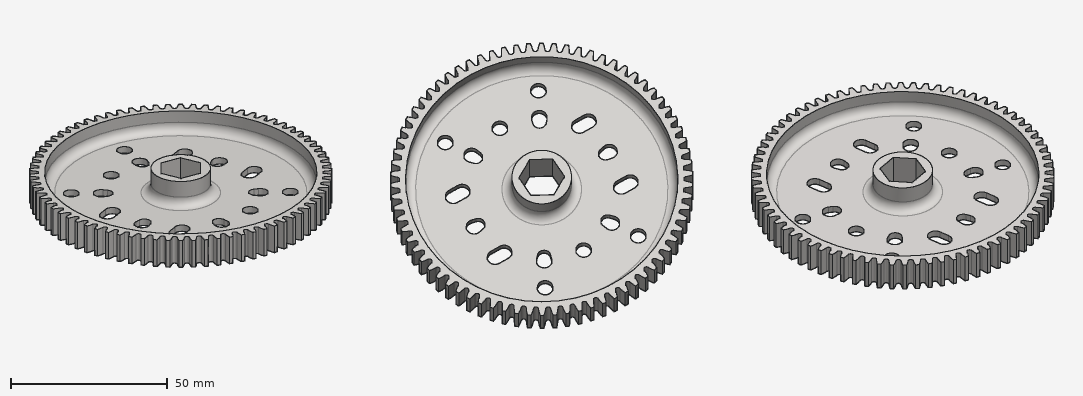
import cadquery as cq
import math


tip_diameter = 96.5
tooth_count = 74
pressure_angle = math.radians(14.5)
backlash = 0.08
root_centre_depth = 2.1
flank_points = 4

module = tip_diameter / (tooth_count + 2)
tip_radius = tip_diameter / 2
pitch_radius = module * tooth_count / 2
base_radius = pitch_radius * math.cos(pressure_angle)
root_centre_radius = tip_radius - root_centre_depth
tooth_pitch_angle = 2 * math.pi / tooth_count

face_width = 9.6
hub_length = 12.6
web_thickness = 2.3

hub_diameter = 19.0
hex_across_flats = 12.6
rim_inner_diameter = 86.9
recess_fillet = 3.2

hole_diameter = 5.0
small_hole_diameter = 4.3
inner_hole_radius = 25.4
small_hole_radius = 23.8
outer_hole_radius = 34.9
slot_travel = 3.4
slot_angle = 60
oval_angles = (30, 90, 150, 210, 270, 330)
side_angles = (0, 180)
outer_angles = (30, 150, 210, 330)

web_bottom = -face_width / 2
web_top = web_bottom + web_thickness


def polar_point(radius, angle):
    return (radius * math.cos(angle), radius * math.sin(angle))


def involute(angle):
    return math.tan(angle) - angle


def half_tooth_angle(radius):
    """Angle from the tooth centreline to the involute flank at a radius."""
    flank_angle = math.acos(base_radius / radius)
    pitch_half_angle = tooth_pitch_angle / 4 - backlash / (2 * pitch_radius)
    return pitch_half_angle + involute(pressure_angle) - involute(flank_angle)


root_rounding = base_radius * (tooth_pitch_angle / 2 - half_tooth_angle(root_centre_radius))
root_radius = root_centre_radius - root_rounding
root_normal_length = math.sqrt(root_centre_radius**2 - base_radius**2)
flank_start_radius = math.hypot(base_radius, root_normal_length - root_rounding)


def make_toothed_blank():
    flank_step = (tip_radius - flank_start_radius) / (flank_points - 1)
    flank_radii = [flank_start_radius + i * flank_step for i in range(flank_points)]
    first_centre = math.pi / 2
    start_angle = half_tooth_angle(flank_start_radius)
    start_point = polar_point(flank_start_radius, first_centre - start_angle)
    outline = cq.Workplane("XY", origin=(0, 0, web_bottom)).moveTo(*start_point)
    for tooth in range(tooth_count):
        centre = first_centre + tooth * tooth_pitch_angle
        rising = [polar_point(r, centre - half_tooth_angle(r)) for r in flank_radii]
        falling = [polar_point(r, centre + half_tooth_angle(r)) for r in reversed(flank_radii)]
        outline = outline.spline(rising[1:], includeCurrent=True)
        outline = outline.threePointArc(polar_point(tip_radius, centre), falling[0])
        outline = outline.spline(falling[1:], includeCurrent=True)
        outline = outline.threePointArc(
            polar_point(root_radius, centre + tooth_pitch_angle / 2),
            polar_point(flank_start_radius, centre + tooth_pitch_angle - start_angle),
        )
    return outline.close().extrude(face_width)


def make_recess():
    """Ring-shaped pocket above the web, rounded into the hub and the rim."""
    depth = face_width / 2 - web_top
    ring = (
        cq.Workplane("XY", origin=(0, 0, web_top))
        .circle(rim_inner_diameter / 2)
        .circle(hub_diameter / 2)
        .extrude(depth)
    )
    return ring.faces("<Z").edges().fillet(recess_fillet)


def make_hub():
    return cq.Workplane("XY").circle(hub_diameter / 2).extrude(hub_length / 2, both=True)


def make_bore():
    hex_corner_diameter = hex_across_flats / math.cos(math.pi / 6)
    return cq.Workplane("XY").polygon(6, hex_corner_diameter).extrude(hub_length / 2, both=True)


def round_holes(points):
    return (
        cq.Workplane("XY", origin=(0, 0, web_bottom))
        .pushPoints(points)
        .circle(hole_diameter / 2)
        .extrude(face_width)
    )


def circle_points(radius, angles):
    return [polar_point(radius, math.radians(angle)) for angle in angles]


def make_slots():
    """Four slots along Y, each reaching outward from the inner hole circle."""
    slot_x, slot_inner_y = polar_point(inner_hole_radius, math.radians(slot_angle))
    slot_y = slot_inner_y + slot_travel / 2
    centres = [(sx * slot_x, sy * slot_y) for sx in (-1, 1) for sy in (-1, 1)]
    return (
        cq.Workplane("XY", origin=(0, 0, web_bottom))
        .pushPoints(centres)
        .slot2D(slot_travel + hole_diameter, hole_diameter, 90)
        .extrude(face_width)
    )


def make_oval(angle):
    """Egg-shaped hole: a large outer and a small inner circle joined by their tangents."""
    large_radius = hole_diameter / 2
    small_radius = small_hole_diameter / 2
    centre_distance = inner_hole_radius - small_hole_radius
    tangent_angle = math.asin((large_radius - small_radius) / centre_distance)
    large_x, large_y = polar_point(large_radius, math.pi / 2 + tangent_angle)
    small_x, small_y = polar_point(small_radius, math.pi / 2 + tangent_angle)
    oval = (
        cq.Workplane("XY", origin=(0, 0, web_bottom))
        .moveTo(inner_hole_radius + large_x, -large_y)
        .threePointArc((inner_hole_radius + large_radius, 0), (inner_hole_radius + large_x, large_y))
        .lineTo(small_hole_radius + small_x, small_y)
        .threePointArc((small_hole_radius - small_radius, 0), (small_hole_radius + small_x, -small_y))
        .close()
        .extrude(face_width)
    )
    return oval.rotate((0, 0, 0), (0, 0, 1), angle)


result = make_toothed_blank().cut(make_recess()).union(make_hub()).cut(make_bore())
result = result.cut(round_holes(circle_points(inner_hole_radius, side_angles)))
result = result.cut(round_holes(circle_points(outer_hole_radius, outer_angles)))
result = result.cut(make_slots())
for oval_angle in oval_angles:
    result = result.cut(make_oval(oval_angle))